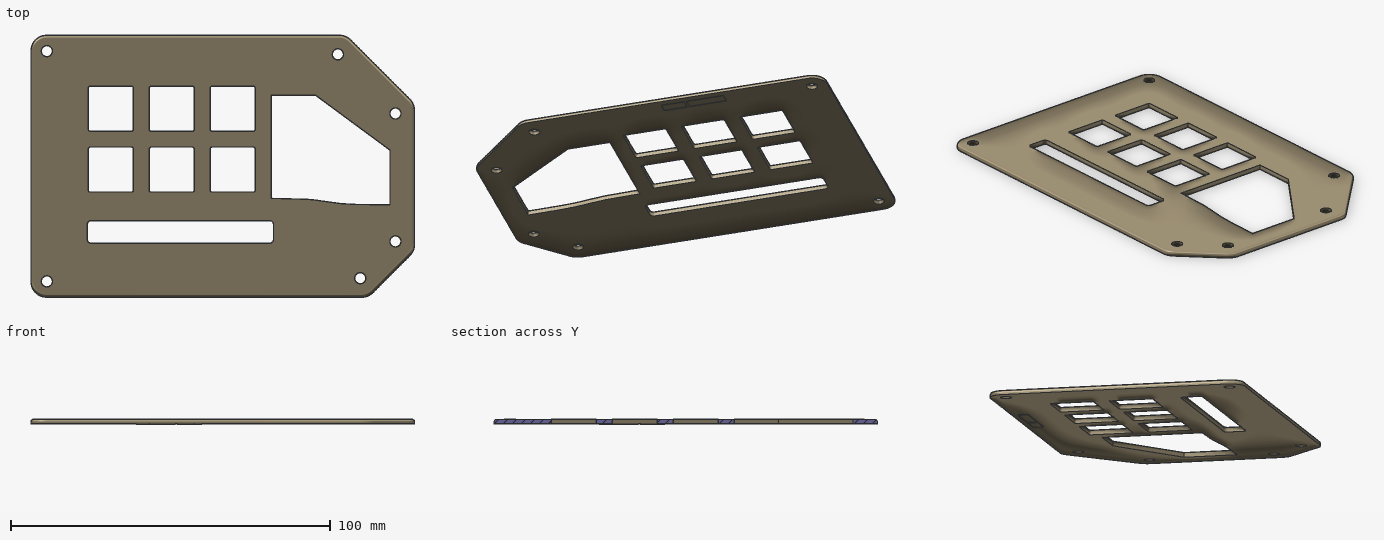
import cadquery as cq

LENGTH = 120.0
WIDTH = 82.0
THICKNESS = 1.5
FRONT_CORNER_CUT = 14.5
REAR_CORNER_CUT = 21.5
CORNER_RADIUS = 5.0
TOP_EDGE_RADIUS = 1.0

HOLE_DIAMETER = 3.4
LEFT_HOLE_INSET = 5.0
RIGHT_HOLE_INSET = 6.0
FRONT_RIGHT_HOLE_X = 103.0
REAR_RIGHT_HOLE_X = 96.0
RIGHT_FRONT_HOLE_Y = 17.5
RIGHT_REAR_HOLE_Y = 57.5

KEY_SIZE = 14.0
KEY_PITCH = 19.05
KEY_COLUMNS = 3
KEY_ROWS = 2
FIRST_KEY_X = 25.0
FIRST_KEY_Y = 39.95
KEY_CORNER_RADIUS = 0.5

SLOT_LENGTH = 58.2
SLOT_WIDTH = 7.0
SLOT_CENTER_X = 46.75
SLOT_CENTER_Y = 20.45
SLOT_CORNER_RADIUS = 1.2

WINDOW_LEFT = 75.2
WINDOW_RIGHT = 112.3
WINDOW_REAR = 63.2
WINDOW_SLOPE_START_X = 89.0
WINDOW_SLOPE_END_Y = 46.0
WINDOW_FRONT_LEFT_Y = 31.0
WINDOW_FRONT_RIGHT_Y = 29.0
WINDOW_CURVE_END_X = 109.0
WINDOW_CURVE_HANDLE = 22.0

PAD_HEIGHT = 0.2
PAD_REAR_INSET = 2.0
PAD_WIDTH = 3.2
PAD_SPANS_X = [(33.0, 45.1), (45.9, 53.3)]


def make_plate():
    outline = [
        (0, 0),
        (LENGTH - FRONT_CORNER_CUT, 0),
        (LENGTH, FRONT_CORNER_CUT),
        (LENGTH, WIDTH - REAR_CORNER_CUT),
        (LENGTH - REAR_CORNER_CUT, WIDTH),
        (0, WIDTH),
    ]
    plate = cq.Workplane("XY").polyline(outline).close().extrude(THICKNESS)
    plate = plate.edges("|Z").fillet(CORNER_RADIUS)
    return plate.faces(">Z").edges().fillet(TOP_EDGE_RADIUS)


def make_screw_holes():
    right_hole_x = LENGTH - RIGHT_HOLE_INSET
    centers = [
        (LEFT_HOLE_INSET, LEFT_HOLE_INSET),
        (LEFT_HOLE_INSET, WIDTH - LEFT_HOLE_INSET),
        (FRONT_RIGHT_HOLE_X, RIGHT_HOLE_INSET),
        (right_hole_x, RIGHT_FRONT_HOLE_Y),
        (right_hole_x, RIGHT_REAR_HOLE_Y),
        (REAR_RIGHT_HOLE_X, WIDTH - RIGHT_HOLE_INSET),
    ]
    return cq.Workplane("XY").pushPoints(centers).circle(HOLE_DIAMETER / 2).extrude(THICKNESS)


def make_key_openings():
    centers = [
        (FIRST_KEY_X + column * KEY_PITCH, FIRST_KEY_Y + row * KEY_PITCH)
        for column in range(KEY_COLUMNS)
        for row in range(KEY_ROWS)
    ]
    openings = cq.Workplane("XY").pushPoints(centers).rect(KEY_SIZE, KEY_SIZE).extrude(THICKNESS)
    return openings.edges("|Z").fillet(KEY_CORNER_RADIUS)


def make_slot():
    slot = cq.Workplane("XY").center(SLOT_CENTER_X, SLOT_CENTER_Y)
    slot = slot.rect(SLOT_LENGTH, SLOT_WIDTH).extrude(THICKNESS)
    return slot.edges("|Z").fillet(SLOT_CORNER_RADIUS)


def make_window():
    s_curve = [
        (WINDOW_LEFT, WINDOW_FRONT_LEFT_Y),
        (WINDOW_LEFT + WINDOW_CURVE_HANDLE, WINDOW_FRONT_LEFT_Y),
        (WINDOW_CURVE_END_X - WINDOW_CURVE_HANDLE, WINDOW_FRONT_RIGHT_Y),
        (WINDOW_CURVE_END_X, WINDOW_FRONT_RIGHT_Y),
    ]
    return (
        cq.Workplane("XY")
        .bezier(s_curve)
        .lineTo(WINDOW_RIGHT, WINDOW_FRONT_RIGHT_Y)
        .lineTo(WINDOW_RIGHT, WINDOW_SLOPE_END_Y)
        .lineTo(WINDOW_SLOPE_START_X, WINDOW_REAR)
        .lineTo(WINDOW_LEFT, WINDOW_REAR)
        .close()
        .extrude(THICKNESS)
    )


def make_pad(start_x, end_x):
    front_y = WIDTH - PAD_REAR_INSET - PAD_WIDTH
    pad = cq.Workplane("XY").moveTo(start_x, front_y)
    return pad.rect(end_x - start_x, PAD_WIDTH, centered=False).extrude(-PAD_HEIGHT)


result = make_plate()
for opening in (make_screw_holes(), make_key_openings(), make_slot(), make_window()):
    result = result.cut(opening)
for pad_start_x, pad_end_x in PAD_SPANS_X:
    result = result.union(make_pad(pad_start_x, pad_end_x))